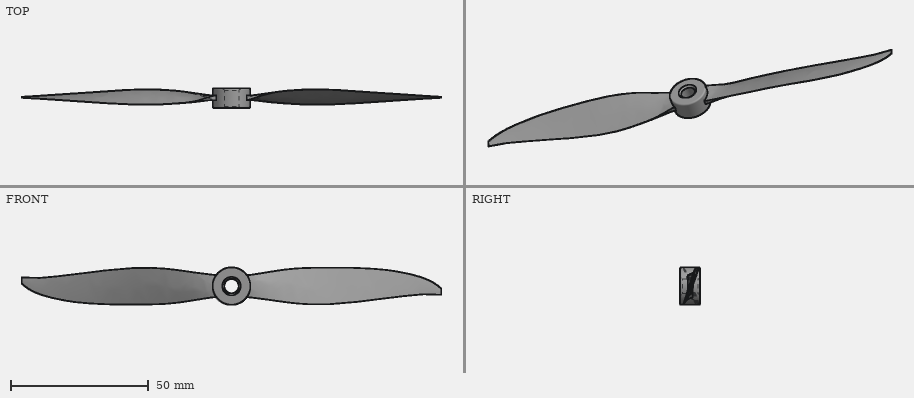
import cadquery as cq
import math

span = 152.4
hub_diameter = 13.7
hub_length = 7.3
hub_edge_fillet = 0.6

bore_diameter = 5.2
bore_mouth_diameter = 6.7
bore_chamfer = (bore_mouth_diameter - bore_diameter) / 2

tip_radius = span / 2
blade_sections = [
    (4.9, 0.2, 4.0, 0.2, -4.0, 2.3, 2.0),
    (9.1, 0.8, 4.4, -0.5, -4.4, 1.5, 0.9),
    (13.7, 1.8, 5.2, -1.4, -5.0, 1.2, 0.3),
    (22.9, 2.9, 6.4, -2.1, -6.2, 1.0, 0.2),
    (30.5, 3.2, 6.7, -2.5, -6.7, 0.9, 0.2),
    (36.5, 3.0, 6.7, -2.3, -6.5, 0.9, 0.2),
    (43.5, 2.6, 6.7, -2.0, -6.0, 0.8, 0.2),
    (50.3, 2.1, 6.4, -1.5, -5.2, 0.8, 0.2),
    (57.2, 1.7, 5.8, -1.0, -4.3, 0.6, 0.2),
    (64.0, 1.2, 4.5, -0.6, -3.5, 0.6, 0.2),
    (68.6, 0.9, 3.4, -0.3, -3.0, 0.5, 0.2),
    (73.2, 0.6, 1.4, 0.0, -3.0, 0.5, 0.2),
    (tip_radius, 0.5, -0.9, 0.2, -3.2, 0.3, 0.2),
]


def section_wire(radius, upper_y, upper_z, lower_y, lower_z, thickness, edge_thickness):
    """Section with two arched faces and blunt edges parallel to Y."""
    middle_y = (upper_y + lower_y) / 2
    middle_z = (upper_z + lower_z) / 2
    chord_y = upper_y - lower_y
    chord_z = upper_z - lower_z
    chord = math.hypot(chord_y, chord_z)
    bulge_y = chord_z / chord * thickness / 2
    bulge_z = -chord_y / chord * thickness / 2
    half_edge = edge_thickness / 2
    return (
        cq.Workplane("YZ", origin=(radius, 0, 0))
        .moveTo(lower_y + half_edge, lower_z)
        .threePointArc((middle_y + bulge_y, middle_z + bulge_z), (upper_y + half_edge, upper_z))
        .lineTo(upper_y - half_edge, upper_z)
        .threePointArc((middle_y - bulge_y, middle_z - bulge_z), (lower_y - half_edge, lower_z))
        .close()
        .val()
    )


def make_blade():
    """Twisted blade lofted smoothly through all its sections."""
    wires = [section_wire(*section) for section in blade_sections]
    return cq.Workplane(cq.Solid.makeLoft(wires))


def make_hub():
    """Solid hub cylinder on the Y axis with rounded outer edges."""
    return (
        cq.Workplane("XZ")
        .circle(hub_diameter / 2)
        .extrude(hub_length / 2, both=True)
        .edges("%CIRCLE")
        .fillet(hub_edge_fillet)
    )


def make_bore():
    """Through bore that flares at both ends."""
    half_length = hub_length / 2
    bore_radius = bore_diameter / 2
    mouth_radius = bore_mouth_diameter / 2
    return (
        cq.Workplane("XY")
        .moveTo(0, -half_length)
        .lineTo(mouth_radius, -half_length)
        .lineTo(bore_radius, -half_length + bore_chamfer)
        .lineTo(bore_radius, half_length - bore_chamfer)
        .lineTo(mouth_radius, half_length)
        .lineTo(0, half_length)
        .close()
        .revolve(360, (0, 0, 0), (0, 1, 0))
    )


blade = make_blade()
opposite_blade = blade.rotate((0, 0, 0), (0, 1, 0), 180)
result = make_hub().union(blade).union(opposite_blade).cut(make_bore())